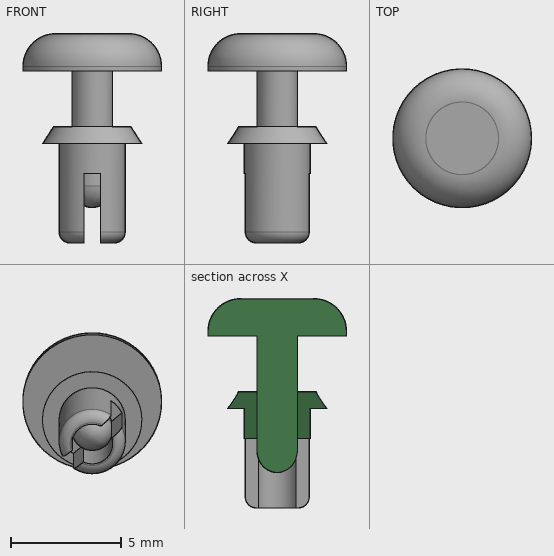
import cadquery as cq

total_height = 9.5

head_diameter = 6.3
dome_radius = 1.5
rim_height = 0.2
shank_diameter = 1.85
tip_start_z = 2.59
tip_length = 0.99
head_bottom_z = total_height - dome_radius - rim_height

barrel_diameter = 3.0
barrel_end_radius = 0.5
collar_bottom_z = 4.5
collar_height = 0.78
collar_bottom_diameter = 4.5
collar_top_diameter = 3.51
sleeve_height = collar_bottom_z + collar_height
slot_width = 0.74
slot_height = 3.14


def make_plunger():
    """Revolve the half profile of the head, shank and rounded tip."""
    head_radius = head_diameter / 2
    shank_radius = shank_diameter / 2
    dome_start_z = head_bottom_z + rim_height
    profile = (
        cq.Workplane("XZ")
        .moveTo(0, tip_start_z)
        .lineTo(shank_radius, tip_start_z)
        .lineTo(shank_radius, head_bottom_z)
        .lineTo(head_radius, head_bottom_z)
        .lineTo(head_radius, dome_start_z)
        .radiusArc((head_radius - dome_radius, total_height), -dome_radius)
        .lineTo(0, total_height)
        .close()
    )
    body = profile.revolve(360, (0, 0, 0), (0, 1, 0))
    return body.union(make_tip())


def make_tip():
    """Half ellipsoid that closes the lower end of the shank."""
    profile = (
        cq.Workplane("XZ", origin=(0, 0, tip_start_z))
        .moveTo(0, -tip_length)
        .ellipseArc(shank_diameter / 2, tip_length, 270, 360, startAtCurrent=True)
        .lineTo(0, 0)
        .close()
    )
    return profile.revolve(360, (0, 0, 0), (0, 1, 0))


def make_sleeve():
    """Barrel and collar, bored through for the shank and split along Y."""
    barrel = (
        cq.Workplane("XY")
        .circle(barrel_diameter / 2)
        .extrude(collar_bottom_z)
        .faces("<Z")
        .edges()
        .fillet(barrel_end_radius)
    )
    collar = (
        cq.Workplane("XY", origin=(0, 0, collar_bottom_z))
        .circle(collar_bottom_diameter / 2)
        .workplane(offset=collar_height)
        .circle(collar_top_diameter / 2)
        .loft()
    )
    bore = cq.Workplane("XY").circle(shank_diameter / 2).extrude(sleeve_height)
    slot = cq.Workplane("XY").rect(slot_width, barrel_diameter).extrude(slot_height)
    return barrel.union(collar).cut(bore).cut(slot)


plunger = make_plunger()
sleeve = make_sleeve()

result = cq.Compound.makeCompound([plunger.val(), sleeve.val()])